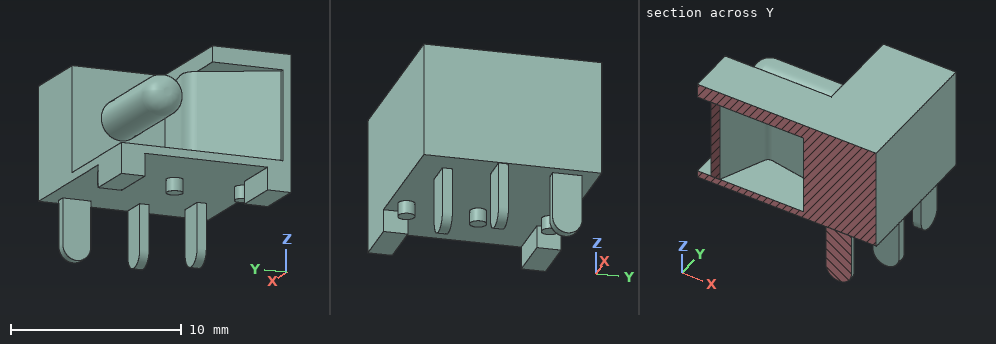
import cadquery as cq
import math

length = 12.3
width = 10.8
total_height = 10.7

block_height = 7.0
foot_drop = 1.38
foot_length = 3.46
foot_width = 1.49
notch_length = 7.3
notch_width = 5.8
floor_thickness = 0.5
roof_thickness = 1.0
side_wall = 0.5
peg_diameter = 1.0
peg_height = 0.8
peg_x = 4.7
peg_inset = 1.05

pin_diameter = 2.5
pin_tip_radius = 1.0
pin_tip_x = 0.32
pin_inset = 3.1
pin_drop = 3.0

strip_thickness = 0.6
nose_radius = 1.0
nose_start_x = 2.29
front_leg_angle = math.radians(66)
back_leg_angle = math.radians(-10)

blade_width = 1.8
blade_thickness = 0.6
front_blade_x = 9.72
front_blade_y = 1.9
rear_blade_x = 11.32
middle_blade_y = 4.86
cross_blade_inset = 1.9

block_bottom = total_height - block_height
floor_top = block_bottom + floor_thickness
pocket_top = total_height - roof_thickness
pocket_height = pocket_top - floor_top
notch_y = width - notch_width


def box(x_min, x_max, y_min, y_max, z_min, z_max):
    """Box between the given limits."""
    size = (x_max - x_min, y_max - y_min, z_max - z_min)
    return cq.Workplane("XY").box(*size, centered=False).translate((x_min, y_min, z_min))


def make_housing():
    """Block with an open corner notch, a roofed pocket, two feet and three pegs."""
    body = box(0, length, 0, width, block_bottom, total_height)
    body = body.cut(box(0, notch_length, notch_y, width, floor_top, total_height))
    body = body.cut(box(0, notch_length, side_wall, notch_y, floor_top, pocket_top))
    for foot_y in (0, width - foot_width):
        foot = box(0, foot_length, foot_y, foot_y + foot_width, block_bottom - foot_drop, block_bottom)
        body = body.union(foot)
    peg_points = [(peg_x, y) for y in (peg_inset, width / 2, width - peg_inset)]
    pegs = (
        cq.Workplane("XY", origin=(0, 0, block_bottom - peg_height))
        .pushPoints(peg_points)
        .circle(peg_diameter / 2)
        .extrude(peg_height)
    )
    return body.union(pegs)


def make_centre_pin():
    """Round pin with a rounded tip, standing on the inner wall of the notch."""
    return (
        cq.Workplane("YZ", origin=(pin_tip_x, width - pin_inset, total_height - pin_drop))
        .circle(pin_diameter / 2)
        .extrude(notch_length - pin_tip_x)
        .faces("<X")
        .edges()
        .fillet(pin_tip_radius)
    )


def make_spring_contact():
    """Bent strip from the pocket's side wall, round the nose, to its end wall."""
    nose_x = nose_start_x + nose_radius * math.sin(front_leg_angle)
    nose_y = notch_y - nose_radius * math.cos(front_leg_angle)
    inner_radius = nose_radius - strip_thickness

    def nose_point(radius, leg_angle):
        return (nose_x - radius * math.sin(leg_angle), nose_y + radius * math.cos(leg_angle))

    def side_wall_point(radius):
        x, y = nose_point(radius, front_leg_angle)
        return (x - (y - side_wall) / math.tan(front_leg_angle), side_wall)

    def end_wall_point(radius):
        x, y = nose_point(radius, back_leg_angle)
        return (notch_length, y + (notch_length - x) * math.tan(back_leg_angle))

    middle_angle = (front_leg_angle + back_leg_angle) / 2
    return (
        cq.Workplane("XY", origin=(0, 0, floor_top))
        .moveTo(*side_wall_point(nose_radius))
        .lineTo(*nose_point(nose_radius, front_leg_angle))
        .threePointArc(nose_point(nose_radius, middle_angle), nose_point(nose_radius, back_leg_angle))
        .lineTo(*end_wall_point(nose_radius))
        .lineTo(*end_wall_point(inner_radius))
        .lineTo(*nose_point(inner_radius, back_leg_angle))
        .threePointArc(nose_point(inner_radius, middle_angle), nose_point(inner_radius, front_leg_angle))
        .lineTo(*side_wall_point(inner_radius))
        .close()
        .extrude(pocket_height)
    )


def make_terminal(x, y, turn):
    """Blade centred at (x, y) below the block; turn 0 sets its width along X, 90 along Y."""
    half_width = blade_width / 2
    blade = (
        cq.Workplane("XZ")
        .moveTo(-half_width, block_bottom)
        .lineTo(-half_width, half_width)
        .threePointArc((0, 0), (half_width, half_width))
        .lineTo(half_width, block_bottom)
        .close()
        .extrude(blade_thickness / 2, both=True)
    )
    return blade.rotate((0, 0, 0), (0, 0, 1), turn).translate((x, y, 0))


housing = make_housing()
centre_pin = make_centre_pin()
spring_contact = make_spring_contact()
terminal_places = [
    (front_blade_x, front_blade_y, 0),
    (rear_blade_x, middle_blade_y, 0),
    (rear_blade_x, width - cross_blade_inset, 90),
]
terminals = [make_terminal(*place).val() for place in terminal_places]

result = cq.Compound.makeCompound([housing.val(), centre_pin.val(), spring_contact.val(), *terminals])